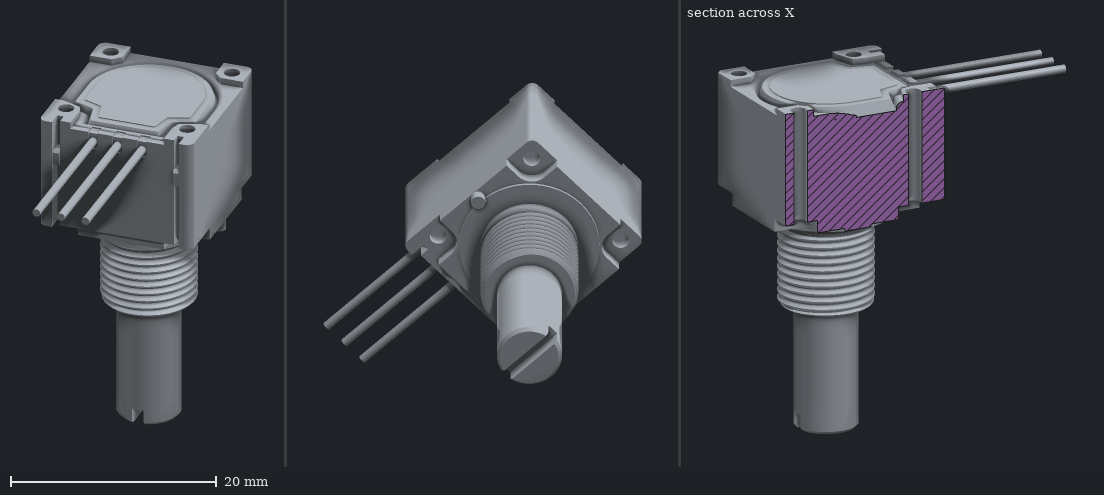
import cadquery as cq
import math


total_depth = 32.74
total_height = 35.18

body_width = 15.88
half_width = body_width / 2
post_front_y = -9.52
wall_front_y = -8.97
corner_radius = 0.79
base_bottom_z = 0.08
wall_bottom_z = 1.36
base_notch_start = 4.46
base_notch_fillet = 1.78
pad_top_z = 12.85
rim_z = 12.17
pad_inner = 4.84
mount_hole_offset = 6.28
mount_hole_diameter = 1.62

wall_half_width = 5.9
latch_width = 0.67
latch_groove_back_y = -7.97
latch_front_y = -9.32
latch_bottom_z = 8.05
latch_top_z = 9.67
latch_top_chamfer = 0.24
latch_bottom_chamfer = 0.1

panel_radius = 5.47
panel_side_y = -3.33
panel_neck_half = 3.43
panel_neck_y = -4.09
panel_foot_half = 2.91
panel_foot_y = -6.33
panel_top_z = 12.52
cover_top_z = 12.42
cover_margin = 0.75
groove_floor_margin = 1.22
groove_rim_margin = 1.97
groove_rim_radius = 0.7
groove_foot_y = -7.29
groove_floor_z = 11.3

bead_front_y = -7.97
bead_radius = (groove_foot_y - bead_front_y) / 2
bead_y = groove_foot_y - bead_radius
channel_front_y = -8.3

lead_pitch = 2.54
lead_diameter = 0.81
lead_z = 11.14
lead_end_y = half_width - total_depth
lead_slot_width = 1.01
lead_slot_bottom_z = 10.39
lead_slot_chamfer = 0.25
lead_block_front_y = -8.77
lead_block_back_y = -7.77
lead_block_top_z = 12.0

seat_radius = 6.85
seat_bottom_z = -0.2
pin_width = 1.38
pin_bottom_z = -0.98

bushing_bottom_z = -9.69
collar_radius = 4.73
collar_end_z = -0.88
relief_start_z = -1.29
thread_start_z = -1.65
thread_major_radius = 4.7625
thread_root_radius = 4.28
thread_pitch = 25.4 / 32
thread_crest = 0.1
thread_root_gap = 0.03
thread_end_chamfer = 0.34
thread_overlap = 0.05

shaft_radius = 3.175
shaft_bottom_z = pad_top_z - total_height
shaft_chamfer = 0.33
slot_width = 1.2
slot_depth = 1.65


def box(x_range, y_range, z_range):
    """Box spanning the given (low, high) ranges."""
    (x0, x1), (y0, y1), (z0, z1) = x_range, y_range, z_range
    return cq.Workplane("XY").box(x1 - x0, y1 - y0, z1 - z0, centered=False).translate((x0, y0, z0))


def panel_outline(z, margin):
    """Round-topped cover outline with a narrow foot, grown outward by margin."""
    outline = (
        cq.Workplane("XY", origin=(0, 0, z))
        .moveTo(-panel_radius, 0)
        .threePointArc((0, panel_radius), (panel_radius, 0))
        .lineTo(panel_radius, panel_side_y)
        .lineTo(panel_neck_half, panel_neck_y)
        .lineTo(panel_foot_half, panel_foot_y)
        .lineTo(-panel_foot_half, panel_foot_y)
        .lineTo(-panel_neck_half, panel_neck_y)
        .lineTo(-panel_radius, panel_side_y)
        .close()
    )
    return outline.offset2D(margin, "intersection") if margin else outline


def full_block(z_range, y_low=post_front_y):
    """Block over the whole housing width, from y_low to the back."""
    return box((-half_width, half_width), (y_low, half_width), z_range)


def make_base():
    """Square base with a round-cornered notch at each corner."""
    base = full_block((base_bottom_z, wall_bottom_z), -half_width)
    notch_size = 2 * (half_width - base_notch_start)
    notch = (
        cq.Workplane("XY", origin=(0, 0, base_bottom_z))
        .rect(notch_size, notch_size)
        .extrude(wall_bottom_z - base_bottom_z)
        .edges("|Z")
        .fillet(base_notch_fillet)
    )
    for x in (-half_width, half_width):
        for y in (-half_width, half_width):
            base = base.cut(notch.translate((x, y, 0)))
    return base


def make_shell():
    """Full-height block with rounded corners and the front wall set back between the posts."""
    z_range = (wall_bottom_z, pad_top_z)
    front_gap = box((-wall_half_width, wall_half_width), (post_front_y, wall_front_y), z_range)
    return full_block(z_range).edges("|Z").fillet(corner_radius).cut(front_gap)


def make_groove():
    """Cavity for the cover and its seal, cut off straight at the front."""
    depth = pad_top_z - groove_floor_z
    cavity = panel_outline(groove_floor_z, groove_floor_margin).extrude(depth)
    return cavity.intersect(full_block((groove_floor_z, pad_top_z), groove_foot_y))


def add_bead(block):
    """Cut the sloped channel behind the front wall and lay the rounded bead along it."""
    bead_z = rim_z - bead_radius
    end_face = cq.Workplane("YZ", origin=(-pad_inner, 0, 0))
    channel = (
        end_face.moveTo(bead_y, rim_z)
        .lineTo(bead_front_y, bead_z)
        .lineTo(channel_front_y, rim_z)
        .close()
        .extrude(2 * pad_inner)
    )
    bead = end_face.center(bead_y, bead_z).circle(bead_radius).extrude(2 * pad_inner)
    return block.cut(channel).union(bead)


def make_corner_pads(shell):
    """Raised pads at the corners, cut back around the groove."""
    z_range = (rim_z, pad_top_z)
    pads = shell.intersect(full_block(z_range))
    pads = pads.cut(box((-pad_inner, pad_inner), (post_front_y, half_width), z_range))
    pads = pads.cut(box((-half_width, half_width), (-pad_inner, pad_inner), z_range))
    return pads.cut(panel_outline(rim_z, groove_rim_margin).extrude(pad_top_z - rim_z))


def make_housing():
    """Housing with its groove, bead, corner pads, base and mounting holes."""
    shell = make_shell()
    block = shell.intersect(full_block((wall_bottom_z, rim_z))).cut(make_groove())

    rim_reach = panel_radius + groove_rim_margin
    tolerance = 0.01
    groove_rim = cq.selectors.BoxSelector(
        (-rim_reach, latch_groove_back_y, rim_z - tolerance),
        (rim_reach, rim_reach, rim_z + tolerance),
    )
    block = block.edges(groove_rim).fillet(groove_rim_radius)
    housing = add_bead(block).union(make_corner_pads(shell)).union(make_base())

    hole_spacing = 2 * mount_hole_offset
    holes = (
        cq.Workplane("XY")
        .rect(hole_spacing, hole_spacing, forConstruction=True)
        .vertices()
        .circle(mount_hole_diameter / 2)
        .extrude(pad_top_z)
    )
    return housing.cut(holes)


def add_latches(housing):
    """Vertical groove at each end of the front wall, holding a small latch block."""
    latch_outer = wall_half_width + latch_width
    for x_range in ((-latch_outer, -wall_half_width), (wall_half_width, latch_outer)):
        groove = box(x_range, (post_front_y, latch_groove_back_y), (wall_bottom_z, pad_top_z))
        latch = (
            box(x_range, (latch_front_y, latch_groove_back_y), (latch_bottom_z, latch_top_z))
            .edges("<Y and >Z")
            .chamfer(latch_top_chamfer)
            .edges("<Y and <Z")
            .chamfer(latch_bottom_chamfer)
        )
        housing = housing.cut(groove).union(latch)
    return housing


def make_cover():
    """Cover with drafted sides and a slightly raised panel."""
    height = cover_top_z - groove_floor_z
    draft = math.degrees(math.atan((groove_floor_margin - cover_margin) / height))
    cover = panel_outline(groove_floor_z, groove_floor_margin).extrude(height, taper=draft)
    panel = panel_outline(cover_top_z, 0).extrude(panel_top_z - cover_top_z)
    return cover.union(panel)


def lead_slot_block(x, front_y, top_z):
    """Block filling a lead slot up to front_y and top_z, chamfered along its bottom."""
    x_range = (x - lead_slot_width / 2, x + lead_slot_width / 2)
    return (
        box(x_range, (front_y, lead_block_back_y), (lead_slot_bottom_z, top_z))
        .edges("|Y and <Z")
        .chamfer(lead_slot_chamfer)
    )


def add_leads(housing):
    """Three leads, each leaving a block set in a slot of the front wall."""
    for x in (-lead_pitch, 0, lead_pitch):
        slot = lead_slot_block(x, wall_front_y, rim_z)
        block = lead_slot_block(x, lead_block_front_y, lead_block_top_z)
        lead = (
            cq.Workplane("XZ", origin=(x, lead_block_back_y, lead_z))
            .circle(lead_diameter / 2)
            .extrude(lead_block_back_y - lead_end_y)
        )
        housing = housing.cut(slot).union(block).union(lead)
    return housing


def make_mounting_face():
    """Round seat around the bushing and a locating pin at the +X side."""
    base_face = cq.Workplane("XY", origin=(0, 0, base_bottom_z))
    pin_radius = pin_width / 2
    seat = base_face.circle(seat_radius).extrude(seat_bottom_z - base_bottom_z)
    pin_centre = base_face.center(half_width - pin_radius, 0)
    pin = pin_centre.circle(pin_radius).extrude(pin_bottom_z - base_bottom_z)
    return seat.union(pin)


def make_bushing():
    """Bushing core: collar, tapered step and plain core at the thread root."""
    return (
        cq.Workplane("XZ")
        .moveTo(0, 0)
        .lineTo(collar_radius, 0)
        .lineTo(collar_radius, collar_end_z)
        .lineTo(thread_root_radius, relief_start_z)
        .lineTo(thread_root_radius, bushing_bottom_z)
        .lineTo(0, bushing_bottom_z)
        .close()
        .revolve(360, (0, 0, 0), (0, 1, 0))
    )


def make_thread():
    """Helical ridge, trimmed square at the top and chamfered at the bottom."""
    inner_radius = thread_root_radius - thread_overlap
    length = thread_start_z - bushing_bottom_z
    path_bottom_z = bushing_bottom_z - thread_pitch / 2
    helix = cq.Wire.makeHelix(thread_pitch, length + thread_pitch, inner_radius)
    half_root = (thread_pitch - thread_root_gap) / 2
    ridge = (
        cq.Workplane("XZ")
        .moveTo(inner_radius, -half_root)
        .lineTo(thread_major_radius, -thread_crest / 2)
        .lineTo(thread_major_radius, thread_crest / 2)
        .lineTo(inner_radius, half_root)
        .close()
        .sweep(cq.Workplane(obj=helix), isFrenet=True)
        .translate((0, 0, path_bottom_z))
    )
    trim_clearance = 0.05
    threaded_length = (
        cq.Workplane("XY", origin=(0, 0, bushing_bottom_z))
        .circle(thread_major_radius + trim_clearance)
        .extrude(length)
        .faces("<Z")
        .chamfer(thread_end_chamfer + trim_clearance)
    )
    return ridge.intersect(threaded_length)


def make_shaft():
    """Plain shaft with a chamfered end and a screwdriver slot along Y."""
    shaft = (
        cq.Workplane("XY", origin=(0, 0, shaft_bottom_z))
        .circle(shaft_radius)
        .extrude(-shaft_bottom_z)
        .faces("<Z")
        .chamfer(shaft_chamfer)
    )
    slot = box(
        (-slot_width / 2, slot_width / 2),
        (-shaft_radius, shaft_radius),
        (shaft_bottom_z, shaft_bottom_z + slot_depth),
    )
    return shaft.cut(slot)


housing = add_latches(make_housing()).union(make_cover())
housing = add_leads(housing)
front_end = make_mounting_face().union(make_bushing()).union(make_shaft())
result = housing.union(front_end).union(make_thread())